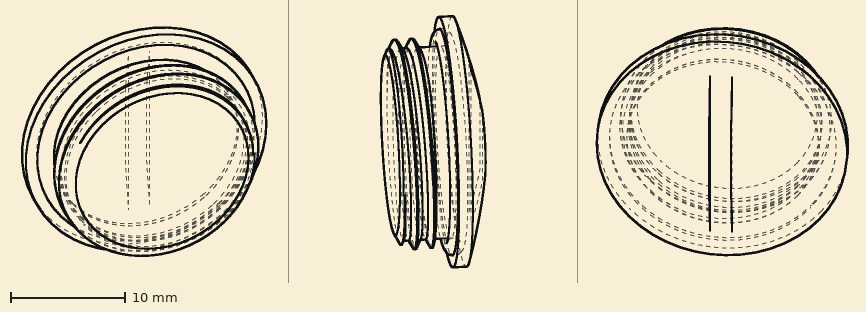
import cadquery as cq

total_length = 8.0
dome_height = 1.91
flange_back = 3.12
thread_start = 4.88
end_chamfer_length = 0.68

head_radius = 21.98 / 2
flat_radius = 3.7
dome_mid_x = 0.81
dome_mid_radius = (flat_radius + head_radius) / 2
shank_radius = 16.84 / 2
crest_radius = 9.2
end_radius = 7.9

slot_width = 1.93
slot_depth = 1.0

ring_section_radius = 0.77
ring_sink = 0.18
ring_radius = shank_radius + ring_section_radius
ring_x = flange_back - ring_sink

pitch = 1.5
thread_root_width = 1.01
thread_crest_width = 0.13
root_embed = 0.1
crest_x_at_top = 5.47


def revolve_about_x(profile):
    return profile.close().revolve(360, (0, 0, 0), (1, 0, 0))


def make_blank():
    """Domed head and plain part of the shank, revolved about X."""
    profile = (
        cq.Workplane("XY")
        .lineTo(0, flat_radius)
        .threePointArc((dome_mid_x, dome_mid_radius), (dome_height, head_radius))
        .lineTo(flange_back, head_radius)
        .lineTo(flange_back, shank_radius)
        .lineTo(thread_start, shank_radius)
        .lineTo(thread_start, 0)
    )
    return revolve_about_x(profile)


def make_thread_envelope():
    """Space that holds the threaded length, with the conical lead-in at its end."""
    cone_slope = end_chamfer_length / (crest_radius - end_radius)
    cone_x_at_head_radius = total_length - cone_slope * (head_radius - end_radius)
    profile = (
        cq.Workplane("XY")
        .moveTo(thread_start, 0)
        .lineTo(thread_start, head_radius)
        .lineTo(cone_x_at_head_radius, head_radius)
        .lineTo(total_length, end_radius)
        .lineTo(total_length, 0)
    )
    return revolve_about_x(profile)


def make_thread():
    """Helical ridge, built along Z, then turned to run along X."""
    turns_before_top = 1.25
    helix_start = crest_x_at_top - turns_before_top * pitch
    turns = 3
    helix = cq.Wire.makeHelix(pitch, turns * pitch, shank_radius)
    inner_radius = shank_radius - root_embed
    flank_run = (thread_root_width - thread_crest_width) / 2
    flank_slope = flank_run / (crest_radius - shank_radius)
    half_root = thread_root_width / 2 + root_embed * flank_slope
    half_crest = thread_crest_width / 2
    ridge = (
        cq.Workplane("XZ")
        .moveTo(inner_radius, -half_root)
        .lineTo(crest_radius, -half_crest)
        .lineTo(crest_radius, half_crest)
        .lineTo(inner_radius, half_root)
        .close()
        .sweep(cq.Workplane(obj=helix), isFrenet=True)
    )
    return (
        ridge.rotate((0, 0, 0), (0, 1, 0), 90)
        .rotate((0, 0, 0), (1, 0, 0), 90)
        .translate((helix_start, 0, 0))
    )


def make_threaded_shank():
    """Threaded part of the shank, trimmed square at its start and conically at its end."""
    core_margin = pitch
    core_length = total_length - thread_start + 2 * core_margin
    core = (
        cq.Workplane("YZ")
        .workplane(offset=thread_start - core_margin)
        .circle(shank_radius)
        .extrude(core_length)
    )
    return core.union(make_thread()).intersect(make_thread_envelope())


def make_slot():
    return cq.Workplane("XY").box(2 * slot_depth, slot_width, 2 * head_radius)


def make_ring():
    """Sealing ring of round section."""
    return cq.Workplane("XY").center(ring_x, ring_radius).circle(ring_section_radius).revolve(
        360, (-ring_x, -ring_radius, 0), (0.22 - ring_x, -ring_radius, 0)
    )


def make_plug(ring):
    """Slotted, threaded plug with a seat that matches the sealing ring."""
    body = make_blank().union(make_threaded_shank(), clean=False)
    return body.cut(make_slot(), clean=False).cut(ring, clean=False)


sealing_ring = make_ring()
plug = make_plug(sealing_ring)

result = cq.Compound.makeCompound([plug.solids().val(), sealing_ring.val()])